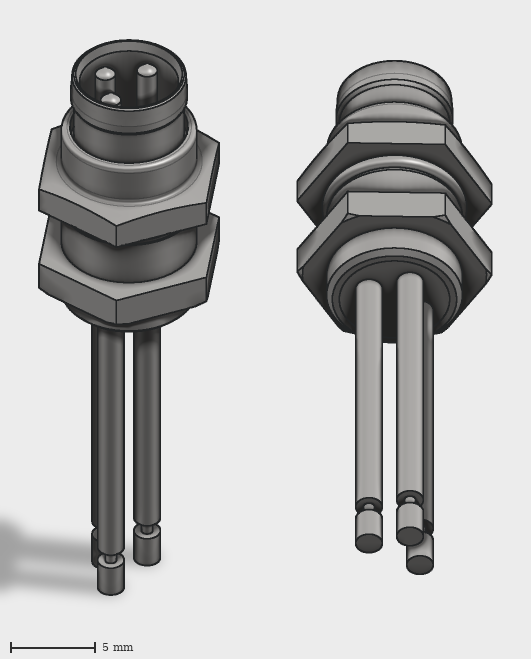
import cadquery as cq
import math

overall_height = 37.6
housing_bottom = 21.05
nut_bottom = 23.05
flange_bottom = 29.05
shoulder_height = 33.65

across_flats = 10.0
across_corners = across_flats / math.cos(math.radians(30))
hex_thickness = 2.0
bevel_overreach = 0.38
flange_top = flange_bottom + hex_thickness

thread_radius = 4.02
thread_end_chamfer = 0.35
collar_top_fillet = 0.35
collar_foot_fillet = 0.3
flange_bevel_start_radius = thread_radius + collar_foot_fillet
flange_bevel_angle = 15
undercut_radius = 3.9
undercut_height = 1.2
mouth_recess_radius = 3.5
mouth_recess_depth = 1.0

nut_bevel_start_radius = 5.45
nut_bevel_angle = 30

seal_outer_radius = 4.3
seal_section_radius = 0.45
seal_centre_radius = seal_outer_radius - seal_section_radius
seal_centre_height = flange_bottom - seal_section_radius

carrier_radius = 3.27
snap_radius = 3.45
snap_foot_height = 35.6
snap_band_bottom = 35.87
snap_band_top = 36.4
mouth_outer_radius = 3.4
mouth_edge_chamfer = 0.1
socket_radius = 2.95
socket_floor = 32.35
mouth_bevel_width = 0.23
mouth_bevel_depth = 0.55

contact_circle_radius = 1.75
contact_angles = [90, 180, 270]
pin_radius = 0.6
pin_dome_height = 0.35
pin_top = 37.1

sheath_radius = 0.8
conductor_radius = 0.35
end_sleeve_length = 2.03
stripped_length = 0.98
sheath_start = end_sleeve_length + stripped_length
wire_seat_depth = 1.88
wire_top = housing_bottom + wire_seat_depth


def cylinder(radius, bottom, top):
    """Solid cylinder on the connector axis between two heights."""
    return cq.Workplane("XY").workplane(offset=bottom).circle(radius).extrude(top - bottom)


def at_contact(body, angle):
    """Move a body from the connector axis to one contact position."""
    x = contact_circle_radius * math.cos(math.radians(angle))
    y = contact_circle_radius * math.sin(math.radians(angle))
    return body.translate((x, y, 0))


def hexagon(bottom):
    """Hexagonal prism with two corners on the X axis."""
    return cq.Workplane("XY").workplane(offset=bottom).polygon(6, across_corners).extrude(hex_thickness)


def bevel_envelope(start_radius, angle, face_height, direction):
    """Turned blank that bevels the hexagon corners next to one face.

    direction is +1 when the bevelled face points up and -1 when it points down.
    """
    rim_radius = across_corners / 2 + bevel_overreach
    drop = (rim_radius - start_radius) * math.tan(math.radians(angle))
    far_height = face_height - direction * hex_thickness
    return (
        cq.Workplane("XZ")
        .moveTo(0, face_height)
        .lineTo(start_radius, face_height)
        .lineTo(rim_radius, face_height - direction * drop)
        .lineTo(rim_radius, far_height)
        .lineTo(0, far_height)
        .close()
        .revolve(360, (0, 0, 0), (0, 1, 0))
    )


def make_seal():
    """Round-section ring lying against the underside of the flange."""
    return cq.Workplane("XY").add(
        cq.Solid.makeTorus(seal_centre_radius, seal_section_radius, cq.Vector(0, 0, seal_centre_height))
    )


def make_housing():
    """Threaded tube with a hexagonal flange and a plain collar above it."""
    undercut_bottom = flange_bottom - undercut_height
    thread = cylinder(thread_radius, housing_bottom, undercut_bottom).faces("<Z").chamfer(thread_end_chamfer)
    undercut = cylinder(undercut_radius, undercut_bottom, flange_bottom)
    flange = hexagon(flange_bottom).intersect(
        bevel_envelope(flange_bevel_start_radius, flange_bevel_angle, flange_top, 1)
    )
    collar = cylinder(thread_radius, flange_top, shoulder_height).faces(">Z").edges().fillet(collar_top_fillet)

    collar_foot = (
        cq.Workplane("XZ")
        .moveTo(carrier_radius, flange_top)
        .lineTo(thread_radius + collar_foot_fillet, flange_top)
        .radiusArc((thread_radius, flange_top + collar_foot_fillet), collar_foot_fillet)
        .lineTo(carrier_radius, flange_top + collar_foot_fillet)
        .close()
        .revolve(360, (0, 0, 0), (0, 1, 0))
    )
    body = thread.union(undercut).union(flange).union(collar).union(collar_foot)
    bore = cylinder(carrier_radius, housing_bottom, shoulder_height)

    mouth_recess = cylinder(mouth_recess_radius, shoulder_height - mouth_recess_depth, shoulder_height)

    return body.cut(bore).cut(mouth_recess).cut(make_seal())


def make_nut():
    """Loose hexagonal nut, bevelled on its lower face only."""
    nut = hexagon(nut_bottom).intersect(
        bevel_envelope(nut_bevel_start_radius, nut_bevel_angle, nut_bottom, -1)
    )
    return nut.cut(cylinder(thread_radius, nut_bottom, nut_bottom + hex_thickness))


def make_carrier():
    """Turned insert that fills the housing bore and forms the plug socket above it."""
    body = (
        cq.Workplane("XZ")
        .moveTo(0, housing_bottom)
        .lineTo(carrier_radius, housing_bottom)
        .lineTo(carrier_radius, snap_foot_height)
        .lineTo(snap_radius, snap_band_bottom)
        .lineTo(snap_radius, snap_band_top)
        .lineTo(mouth_outer_radius, overall_height - mouth_edge_chamfer)
        .lineTo(mouth_outer_radius - mouth_edge_chamfer, overall_height)
        .lineTo(socket_radius + mouth_bevel_width, overall_height)
        .lineTo(socket_radius, overall_height - mouth_bevel_depth)
        .lineTo(socket_radius, socket_floor)
        .lineTo(0, socket_floor)
        .close()
        .revolve(360, (0, 0, 0), (0, 1, 0))
    )
    for angle in contact_angles:
        wire_hole = cylinder(sheath_radius, housing_bottom, wire_top)
        pin_hole = cylinder(pin_radius, wire_top, socket_floor)
        body = body.cut(at_contact(wire_hole, angle)).cut(at_contact(pin_hole, angle))
    return body


def make_pin(angle):
    """Straight pin with a shallow spherical dome on its free end."""
    dome_base = pin_top - pin_dome_height
    dome_radius = (pin_radius**2 + pin_dome_height**2) / (2 * pin_dome_height)
    pin = (
        cq.Workplane("XZ")
        .moveTo(0, wire_top)
        .lineTo(pin_radius, wire_top)
        .lineTo(pin_radius, dome_base)
        .radiusArc((0, pin_top), -dome_radius)
        .close()
        .revolve(360, (0, 0, 0), (0, 1, 0))
    )
    return at_contact(pin, angle)


def make_wire(angle):
    """Sheathed wire with a stripped gap above the sleeve left on its end."""
    end_sleeve = cylinder(sheath_radius, 0, end_sleeve_length)
    conductor = cylinder(conductor_radius, end_sleeve_length, sheath_start)
    sheath = cylinder(sheath_radius, sheath_start, wire_top)
    return at_contact(end_sleeve.union(conductor).union(sheath), angle)


housing = make_housing()
nut = make_nut()
seal = make_seal()
carrier = make_carrier()
pins = [make_pin(angle).val() for angle in contact_angles]
wires = [make_wire(angle).val() for angle in contact_angles]

result = cq.Compound.makeCompound(
    [housing.val(), nut.val(), seal.val(), carrier.val(), *pins, *wires]
)